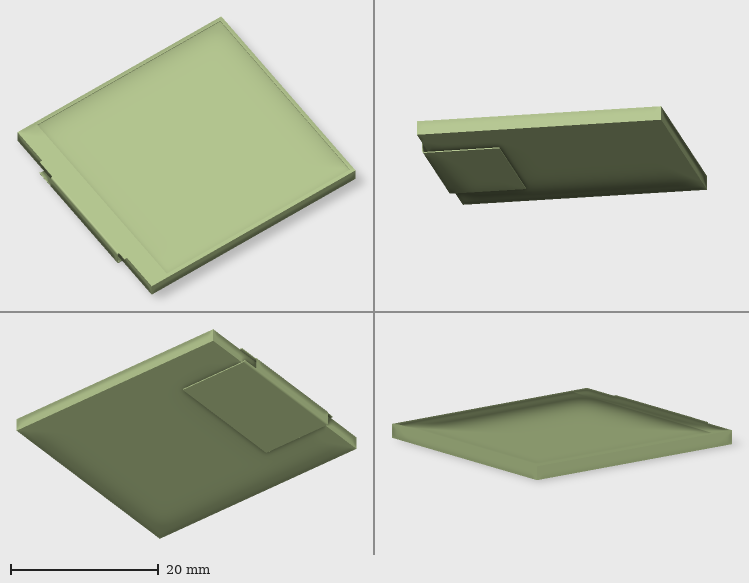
import cadquery as cq
import math

PANEL_WIDTH = 31.53
PANEL_LENGTH = 33.7
PANEL_THICKNESS = 1.93

WINDOW_BORDER = 0.55
WINDOW_FRONT_BORDER = 2.9
WINDOW_DEPTH = 0.1

OVERALL_LENGTH = 34.38
OVERALL_HEIGHT = 2.25
RIBBON_THICKNESS = 0.15
BEND_RADIUS = 0.28
TAB_WIDTH = 19.95
NECK_LEFT = -6.98
NECK_RIGHT = 8.65
TAIL_LEFT = -9.7
TAIL_LENGTH = 10.62

RIBBON_FRONT = PANEL_LENGTH - OVERALL_LENGTH
BEND_START = RIBBON_FRONT + BEND_RADIUS
INNER_BEND_RADIUS = BEND_RADIUS - RIBBON_THICKNESS
TAIL_BOTTOM = -OVERALL_HEIGHT


def box_between(x_min, x_max, y_min, y_max, z_min, z_max):
    """Box given by its limits along each axis."""
    size = (x_max - x_min, y_max - y_min, z_max - z_min)
    return cq.Workplane("XY").box(*size, centered=False).translate((x_min, y_min, z_min))


def make_panel():
    """Rectangular panel with a shallow window recess."""
    half_width = PANEL_WIDTH / 2
    half_window = half_width - WINDOW_BORDER
    slab = box_between(-half_width, half_width, 0, PANEL_LENGTH, -PANEL_THICKNESS, 0)
    window = box_between(
        -half_window, half_window,
        WINDOW_FRONT_BORDER, PANEL_LENGTH - WINDOW_BORDER,
        -WINDOW_DEPTH, 0,
    )
    return slab.cut(window)


def make_bend(x_min, x_max, flat_z, direction):
    """Quarter-round bend from the drop to a flat whose outer face is at flat_z.

    direction is +1 when the flat lies above the drop and -1 when it lies below.
    """
    center_z = flat_z - direction * BEND_RADIUS
    outer_mid = BEND_RADIUS * math.sqrt(0.5)
    inner_mid = INNER_BEND_RADIUS * math.sqrt(0.5)
    return (
        cq.Workplane("YZ", origin=(x_min, 0, 0))
        .moveTo(BEND_START, flat_z)
        .threePointArc(
            (BEND_START - outer_mid, center_z + direction * outer_mid),
            (RIBBON_FRONT, center_z),
        )
        .lineTo(RIBBON_FRONT + RIBBON_THICKNESS, center_z)
        .threePointArc(
            (BEND_START - inner_mid, center_z + direction * inner_mid),
            (BEND_START, flat_z - direction * RIBBON_THICKNESS),
        )
        .close()
        .extrude(x_max - x_min)
    )


def make_ribbon():
    """Ribbon cable folded from the panel's front edge to below the panel."""
    tab = box_between(-TAB_WIDTH / 2, TAB_WIDTH / 2, BEND_START, 0, -RIBBON_THICKNESS, 0)
    upper_bend = make_bend(NECK_LEFT, NECK_RIGHT, 0, 1)
    drop = box_between(
        NECK_LEFT, NECK_RIGHT,
        RIBBON_FRONT, RIBBON_FRONT + RIBBON_THICKNESS,
        TAIL_BOTTOM + BEND_RADIUS, -BEND_RADIUS,
    )
    lower_bend = make_bend(TAIL_LEFT, NECK_RIGHT, TAIL_BOTTOM, -1)
    tail = box_between(
        TAIL_LEFT, NECK_RIGHT,
        BEND_START, RIBBON_FRONT + TAIL_LENGTH,
        TAIL_BOTTOM, TAIL_BOTTOM + RIBBON_THICKNESS,
    )
    return tab.union(upper_bend).union(drop).union(lower_bend).union(tail)


panel = make_panel()
ribbon = make_ribbon()
result = cq.Compound.makeCompound([panel.val(), ribbon.val()])